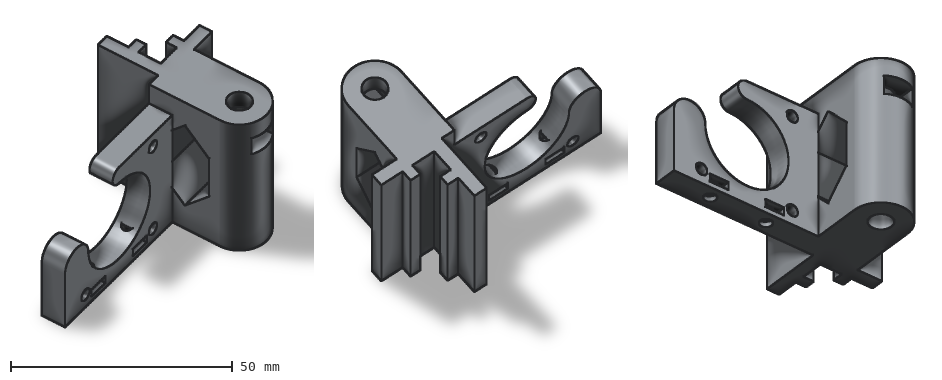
import cadquery as cq
import math

height = 40.0
overall_x = 44.0
overall_y = 63.45

arm_length = 15.0
arm_thickness = 3.5
key_width = 2.8
key_depth = 3.0
key_from_tip = 6.0

pivot_back = 8.0
pivot_front = -7.05
pivot_radius = (pivot_back - pivot_front) / 2
pivot_x = overall_x - arm_length - pivot_radius
pivot_y = (pivot_back + pivot_front) / 2
bore_diameter = 6.0

window_x = 11.75
window_half_width = 6.65
window_half_height = 12.7

nut_width = 8.1
nut_height = 5.1
nut_bottom = 30.1

plate_left = 1.8
plate_thickness = 6.5
plate_top = 33.95
plate_end = arm_length - overall_y
ring_radius = 11.9
ring_z = 16.95
finger_radius = 4.5
ring_y = plate_end + 2 * finger_radius + ring_radius
tip_radius = (plate_top - ring_z - ring_radius) / 2

screw_diameter = 3.2
hole_offset = 13.0
slot_offset = 8.0
slot_width = 5.3
slot_height = 2.15
slot_z = 2.6
screw_depth = 7.5


def box(x0, x1, y0, y1, z0, z1):
    """Box between two opposite corners."""
    return cq.Workplane("XY").box(x1 - x0, y1 - y0, z1 - z0, centered=False).translate((x0, y0, z0))


def make_arms():
    key_start = arm_length - key_from_tip - key_width
    key_end = key_start + key_width
    side_arm = box(-arm_length, arm_thickness, -arm_thickness, 0, 0, height)
    back_arm = box(0, arm_thickness, -arm_thickness, arm_length, 0, height)
    side_key = box(-key_end, -key_start, 0, key_depth, 0, height)
    back_key = box(-key_depth, 0, key_start, key_end, 0, height)
    return side_arm.union(back_arm).union(side_key).union(back_key)


def make_pivot_block():
    block = (
        cq.Workplane("XY")
        .moveTo(plate_left, pivot_front)
        .lineTo(pivot_x, pivot_front)
        .threePointArc((pivot_x + pivot_radius, pivot_y), (pivot_x, pivot_back))
        .lineTo(plate_left, pivot_back)
        .close()
        .extrude(height)
    )
    bore = cq.Workplane("XY").center(pivot_x, pivot_y).circle(bore_diameter / 2).extrude(height)
    nut_pocket = box(
        pivot_x - nut_width / 2, pivot_x + pivot_radius,
        pivot_y - nut_width / 2, pivot_y + nut_width / 2,
        nut_bottom, nut_bottom + nut_height,
    )
    side_half = window_half_height - window_half_width
    window = (
        cq.Workplane("XZ", origin=(window_x, pivot_back, height / 2))
        .polyline([
            (0, window_half_height),
            (window_half_width, side_half),
            (window_half_width, -side_half),
            (0, -window_half_height),
            (-window_half_width, -side_half),
            (-window_half_width, side_half),
        ])
        .close()
        .extrude(pivot_back - pivot_front)
    )
    return block.cut(bore).cut(nut_pocket).cut(window)


def make_clamp_plate():
    plane = cq.Workplane("YZ", origin=(plate_left, 0, 0))
    finger_y = plate_end + finger_radius
    ring_top = ring_z + ring_radius
    ring_front = ring_y - ring_radius
    ring_diagonal = ring_radius * math.sqrt(0.5)
    plate = (
        plane.moveTo(pivot_front, 0)
        .lineTo(plate_end, 0)
        .lineTo(plate_end, ring_z)
        .threePointArc((finger_y, ring_z + finger_radius), (ring_front, ring_z))
        .threePointArc((ring_y + ring_diagonal, ring_z - ring_diagonal), (ring_y, ring_top))
        .threePointArc((ring_y - tip_radius, ring_top + tip_radius), (ring_y, plate_top))
        .lineTo(pivot_front, plate_top)
        .close()
        .extrude(plate_thickness)
    )
    screw_holes = (
        plane.pushPoints([
            (ring_y + hole_offset, ring_z + hole_offset),
            (ring_y + hole_offset, ring_z - hole_offset),
            (ring_y - hole_offset, ring_z - hole_offset),
        ])
        .circle(screw_diameter / 2)
        .extrude(plate_thickness)
    )
    slot_places = [ring_y - slot_offset, ring_y + slot_offset]
    nut_slots = (
        plane.pushPoints([(y, slot_z) for y in slot_places])
        .rect(slot_width, slot_height)
        .extrude(plate_thickness)
    )
    plate_middle = plate_left + plate_thickness / 2
    vertical_holes = (
        cq.Workplane("XY")
        .pushPoints([(plate_middle, y) for y in slot_places])
        .circle(screw_diameter / 2)
        .extrude(screw_depth)
    )
    return plate.cut(screw_holes).cut(nut_slots).cut(vertical_holes)


result = make_arms().union(make_pivot_block()).union(make_clamp_plate())